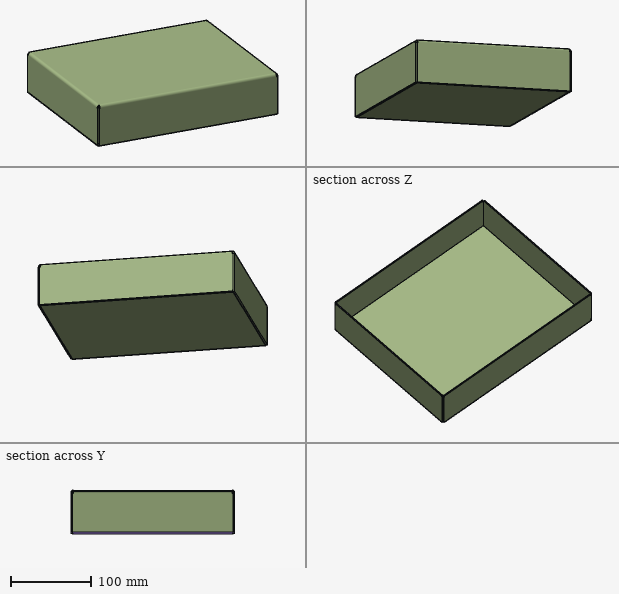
import cadquery as cq

width = 204.0
length = 250.0
height = 55.0

wall = 2.0
outer_bend_radius = 3.8
inner_bend_radius = outer_bend_radius - wall
bend_relief = 2.8

base_inset = wall
base_drop = 1.0


def rounded_block(inset, bend_radius):
    """Block with a rounded top rim, set in from the outer sides and top."""
    block = cq.Workplane("XY").workplane(offset=base_drop).rect(width - 2 * inset, length - 2 * inset)
    block = block.extrude(height - base_drop - inset)
    return block.faces(">Z").edges().fillet(bend_radius)


def corner_notches(size, bottom):
    """Square cuts of the given size at the upright corners, from a bottom level up to the top."""
    corners = cq.Workplane("XY").workplane(offset=bottom).rect(width, length, forConstruction=True).vertices()
    return corners.rect(2 * size, 2 * size).extrude(height - bottom)


def base_plate():
    """Closing plate that fits between the walls and stands out below them."""
    plate = cq.Workplane("XY").rect(width - 2 * base_inset, length - 2 * base_inset)
    return plate.extrude(base_drop + wall)


shell = rounded_block(0, outer_bend_radius).cut(rounded_block(wall, inner_bend_radius))
shell = shell.cut(corner_notches(wall, 0))
shell = shell.cut(corner_notches(bend_relief, height - outer_bend_radius))
result = shell.union(base_plate())